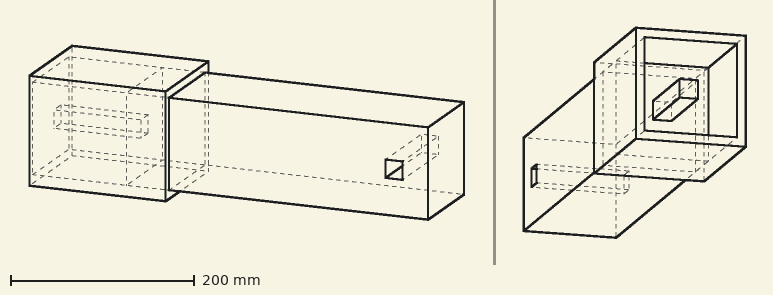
import cadquery as cq

total_length = 464.0
sleeve_size = 125.0
sleeve_length = 160.0
bar_size = 105.0
bar_start = 110.0
tenon_size = 21.0
tenon_start = 8.0
slot_length = 20.0
slot_height = 21.0
slot_end_distance = 30.0

bar_length = total_length - bar_start
tenon_length = bar_start - tenon_start
slot_center = total_length - slot_end_distance - slot_length / 2


def square_prism(size, start, length):
    """Square prism centred on the X axis."""
    return cq.Workplane("YZ").workplane(offset=start).rect(size, size).extrude(length)


def make_sleeve():
    """Square socket, open at both ends, that fits around the bar."""
    outside = square_prism(sleeve_size, 0, sleeve_length)
    opening = square_prism(bar_size, 0, sleeve_length)
    return outside.cut(opening)


def make_bar():
    """Square bar with a tenon on its seated end and a cross slot at the other."""
    shank = square_prism(bar_size, bar_start, bar_length)
    tenon = square_prism(tenon_size, tenon_start, tenon_length)
    slot = cq.Workplane("XY").box(slot_length, bar_size, slot_height).translate((slot_center, 0, 0))
    return shank.union(tenon).cut(slot)


sleeve = make_sleeve()
bar = make_bar()

result = cq.Compound.makeCompound([sleeve.val(), bar.val()])